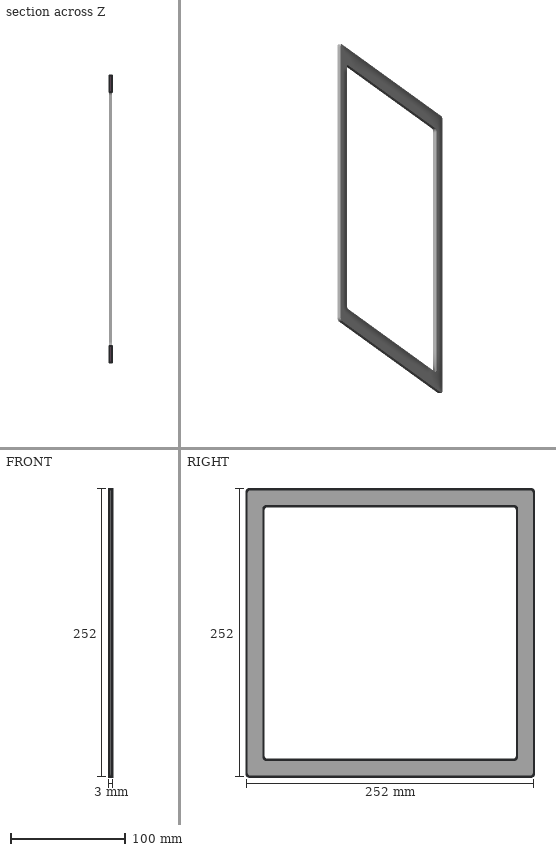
import cadquery as cq

THICKNESS = 3.0
OUTER_SIDE = 252.0
BORDER_WIDTH = 15.0
CORNER_RADIUS = 3.0

OPENING_SIDE = OUTER_SIDE - 2 * BORDER_WIDTH


def rounded_square_plate(side):
    """Square plate in the YZ plane, centred on the origin, with rounded corners."""
    plate = cq.Workplane("YZ").rect(side, side).extrude(THICKNESS / 2, both=True)
    return plate.edges("|X").fillet(CORNER_RADIUS)


outer_plate = rounded_square_plate(OUTER_SIDE)
opening = rounded_square_plate(OPENING_SIDE)

result = outer_plate.cut(opening)